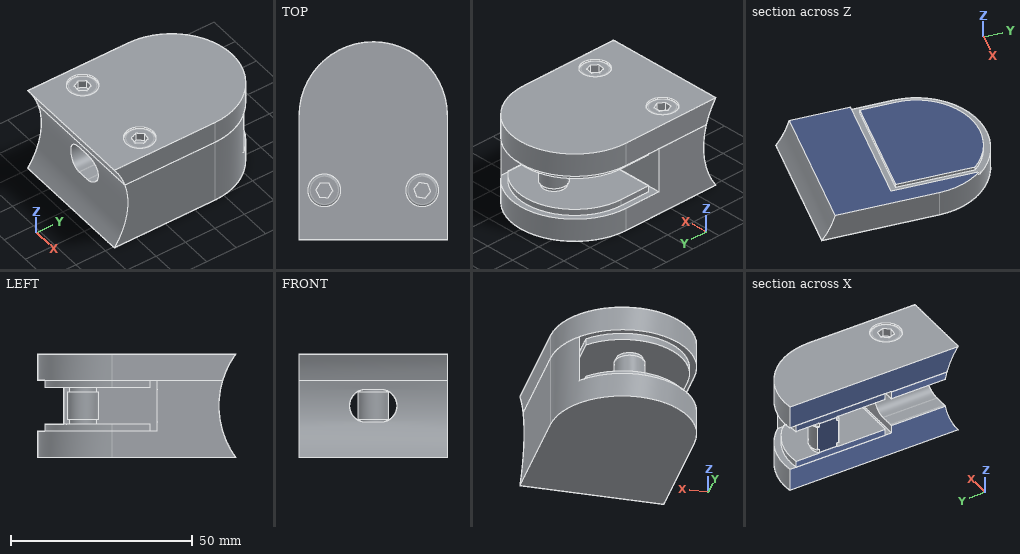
import cadquery as cq
import math

width = 41.0
length = 54.65
height = 28.5
end_radius = width / 2
front_y = end_radius - length
top_z = height / 2

post_radius = 24.3
post_axis_y = front_y - math.sqrt(post_radius**2 - top_z**2)

slot_height = 14.0
slot_end_y = -12.45
side_wall_x = 15.6
jaw_z = slot_height / 2
plate_thickness = top_z - jaw_z

pad_thickness = 1.95
pad_inset = 1.95
pad_radius = end_radius - pad_inset

pin_y = 8.0
pin_diameter = 8.5
pin_end_diameter = 7.5
pin_body_length = 7.7
pin_length = slot_height - 2 * pad_thickness

mount_hole_width = 13.0
mount_hole_height = 9.05

screw_x = 13.5
screw_y = -20.5
screw_diameter = 9.0
screw_recess = 0.2
screw_length = plate_thickness - screw_recess
screw_edge_fillet = 0.6
socket_across_flats = 4.05
socket_depth = 2.5
left_socket_turn = -3.0
right_socket_turn = -9.5


def d_block(radius, end_y, bottom_z, thickness):
    """Block with a half-round end about the origin and a straight edge at end_y."""
    return (
        cq.Workplane("XY", origin=(0, 0, bottom_z))
        .moveTo(-radius, end_y)
        .lineTo(-radius, 0)
        .threePointArc((0, radius), (radius, 0))
        .lineTo(radius, end_y)
        .close()
        .extrude(thickness)
    )


def cylinder(diameter, length, x, y, bottom_z):
    """Upright cylinder standing on bottom_z."""
    return cq.Workplane("XY", origin=(x, y, bottom_z)).circle(diameter / 2).extrude(length)


def post():
    """Round post along X that shapes the concave front face."""
    return (
        cq.Workplane("YZ", origin=(-width / 2, 0, 0))
        .center(post_axis_y, 0)
        .circle(post_radius)
        .extrude(width)
    )


def make_base():
    """Lower jaw, solid front block and +X side wall in one piece."""
    body = d_block(end_radius, front_y, -top_z, height - plate_thickness)
    slot = cq.Workplane("XY").box(
        side_wall_x + end_radius, end_radius - slot_end_y, slot_height, centered=False
    ).translate((-end_radius, slot_end_y, -jaw_z))
    mount_hole = (
        cq.Workplane("XZ", origin=(0, slot_end_y, 0))
        .slot2D(mount_hole_width, mount_hole_height)
        .extrude(slot_end_y - front_y)
    )
    return body.cut(slot).cut(mount_hole).cut(post())


def make_cover_plate():
    """Upper jaw with a through hole for each screw."""
    plate = d_block(end_radius, front_y, jaw_z, plate_thickness).cut(post())
    for x in (-screw_x, screw_x):
        plate = plate.cut(cylinder(screw_diameter, plate_thickness, x, screw_y, jaw_z))
    return plate


def make_pad(bottom_z):
    """Flat pad set in from the jaw outline, the slot end and the side wall."""
    pad = d_block(pad_radius, slot_end_y + pad_inset, bottom_z, pad_thickness)
    wall_clearance = cq.Workplane("XY").box(
        width, 2 * length, height, centered=(False, True, True)
    ).translate((side_wall_x - pad_inset, 0, 0))
    return pad.cut(wall_clearance)


def make_pin():
    """Pin with a reduced diameter at both ends."""
    core = cylinder(pin_end_diameter, pin_length, 0, pin_y, -pin_length / 2)
    collar = cylinder(pin_diameter, pin_body_length, 0, pin_y, -pin_body_length / 2)
    return core.union(collar)


def make_screw(x, socket_turn):
    """Round screw with a filleted top edge and a hexagon socket."""
    head = cylinder(screw_diameter, screw_length, x, screw_y, jaw_z)
    head = head.faces(">Z").edges().fillet(screw_edge_fillet)
    socket_across_corners = socket_across_flats / math.cos(math.radians(30))
    socket = (
        cq.Workplane("XY", origin=(x, screw_y, top_z - screw_recess))
        .transformed(rotate=(0, 0, socket_turn))
        .polygon(6, socket_across_corners)
        .extrude(-socket_depth)
    )
    return head.cut(socket)


base = make_base()
cover_plate = make_cover_plate()
pin = make_pin()
pads = [make_pad(z) for z in (-jaw_z, jaw_z - pad_thickness)]
screw_places = ((-screw_x, left_socket_turn), (screw_x, right_socket_turn))
screws = [make_screw(x, turn) for x, turn in screw_places]

result = cq.Compound.makeCompound(
    [
        base.val(),
        cover_plate.val(),
        pin.val(),
        *[pad.val() for pad in pads],
        *[screw.val() for screw in screws],
    ]
)